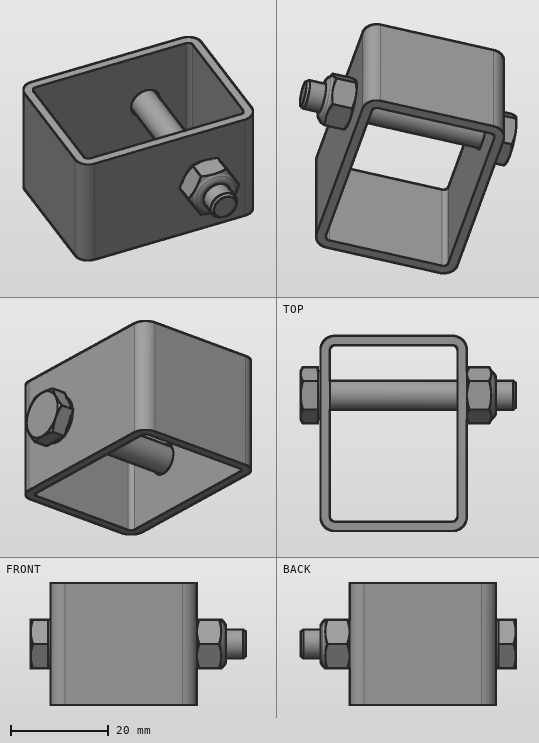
import cadquery as cq
import math

TUBE_X = 30.0
TUBE_Y = 40.0
TUBE_Z = 25.0
WALL = 2.0
OUTER_CORNER_RADIUS = 3.0
INNER_CORNER_RADIUS = OUTER_CORNER_RADIUS - WALL

BOLT_LENGTH = 44.0
BOLT_DIAMETER = 6.0
BOLT_AXIS_TO_BACK = 12.2
WALL_HOLE_DIAMETER = 6.5
TIP_CHAMFER_LENGTH = 0.6
TIP_CHAMFER_DEPTH = 0.5

ACROSS_FLATS = 10.0
FLAT_RADIUS = ACROSS_FLATS / 2
CORNER_RADIUS = FLAT_RADIUS / math.cos(math.radians(30))
CORNER_BEVEL_ANGLE = 30.0
BEVEL_LENGTH = (CORNER_RADIUS - FLAT_RADIUS) * math.tan(math.radians(CORNER_BEVEL_ANGLE))

HEAD_HEIGHT = 3.5
BEARING_FACE_HEIGHT = 0.5

NUT_HEX_HEIGHT = 4.95
COLLAR_HEIGHT = 1.0
COLLAR_CONE_LENGTH = 0.55
COLLAR_CONE_ANGLE = 45.0

LEFT_FACE_X = -TUBE_X / 2
RIGHT_FACE_X = TUBE_X / 2
BEARING_FACE_X = LEFT_FACE_X - BEARING_FACE_HEIGHT
HEAD_END_X = BEARING_FACE_X - HEAD_HEIGHT
BOLT_TIP_X = HEAD_END_X + BOLT_LENGTH
BOLT_AXIS_Y = TUBE_Y / 2 - BOLT_AXIS_TO_BACK


def cross_section(x):
    """Workplane across the bolt axis at x, facing +X."""
    return cq.Workplane("YZ", origin=(x, BOLT_AXIS_Y, 0))


def cylinder(diameter, start_x, end_x):
    """Round bar between two places on the bolt axis."""
    return cross_section(start_x).circle(diameter / 2).extrude(end_x - start_x)


def hexagon(start_x, height):
    """Hexagonal prism with corners toward +Y and -Y."""
    return cross_section(start_x).polygon(6, 2 * CORNER_RADIUS).extrude(height)


def revolve_about_bolt(profile):
    """Revolve a closed profile, drawn as x and radius, about the bolt axis."""
    return profile.close().revolve(360, (0, 0, 0), (1, 0, 0))


def axial_profile():
    """Workplane whose coordinates are x and the radius from the bolt axis."""
    return cq.Workplane("XY", origin=(0, BOLT_AXIS_Y, 0))


def make_tube():
    outside = (
        cq.Workplane("XY")
        .box(TUBE_X, TUBE_Y, TUBE_Z)
        .edges("|Z")
        .fillet(OUTER_CORNER_RADIUS)
    )
    inside = (
        cq.Workplane("XY")
        .box(TUBE_X - 2 * WALL, TUBE_Y - 2 * WALL, TUBE_Z)
        .edges("|Z")
        .fillet(INNER_CORNER_RADIUS)
    )
    return outside.cut(inside).cut(cylinder(WALL_HOLE_DIAMETER, LEFT_FACE_X, RIGHT_FACE_X))


def make_bolt():
    head_envelope = revolve_about_bolt(
        axial_profile()
        .moveTo(HEAD_END_X, 0)
        .lineTo(HEAD_END_X, FLAT_RADIUS)
        .lineTo(HEAD_END_X + BEVEL_LENGTH, CORNER_RADIUS)
        .lineTo(BEARING_FACE_X, CORNER_RADIUS)
        .lineTo(BEARING_FACE_X, 0)
    )
    head = hexagon(HEAD_END_X, HEAD_HEIGHT).intersect(head_envelope)
    bearing_face = cylinder(ACROSS_FLATS, BEARING_FACE_X, LEFT_FACE_X)
    shank = (
        cylinder(BOLT_DIAMETER, BEARING_FACE_X, BOLT_TIP_X)
        .faces(">X")
        .chamfer(TIP_CHAMFER_LENGTH, TIP_CHAMFER_DEPTH)
    )
    return head.union(bearing_face).union(shank)


def make_nut():
    hex_end_x = RIGHT_FACE_X + NUT_HEX_HEIGHT
    nut_end_x = hex_end_x + COLLAR_HEIGHT
    hex_envelope = revolve_about_bolt(
        axial_profile()
        .moveTo(RIGHT_FACE_X, 0)
        .lineTo(RIGHT_FACE_X, FLAT_RADIUS)
        .lineTo(RIGHT_FACE_X + BEVEL_LENGTH, CORNER_RADIUS)
        .lineTo(hex_end_x - BEVEL_LENGTH, CORNER_RADIUS)
        .lineTo(hex_end_x, FLAT_RADIUS)
        .lineTo(hex_end_x, 0)
    )
    hex_body = hexagon(RIGHT_FACE_X, NUT_HEX_HEIGHT).intersect(hex_envelope)
    cone_angle = math.radians(COLLAR_CONE_ANGLE)
    cone_end_x = hex_end_x + COLLAR_CONE_LENGTH
    cone_end_radius = FLAT_RADIUS - COLLAR_CONE_LENGTH * math.tan(cone_angle)
    round_radius = (nut_end_x - cone_end_x) / (1 - math.sin(cone_angle))
    end_face_radius = cone_end_radius - round_radius * math.cos(cone_angle)
    collar = revolve_about_bolt(
        axial_profile()
        .moveTo(hex_end_x, 0)
        .lineTo(hex_end_x, FLAT_RADIUS)
        .lineTo(cone_end_x, cone_end_radius)
        .tangentArcPoint((nut_end_x, end_face_radius), relative=False)
        .lineTo(nut_end_x, 0)
    )
    return hex_body.union(collar).cut(cylinder(BOLT_DIAMETER, RIGHT_FACE_X, nut_end_x))


tube = make_tube()
bolt = make_bolt()
nut = make_nut()

result = cq.Compound.makeCompound([tube.val(), bolt.val(), nut.val()])